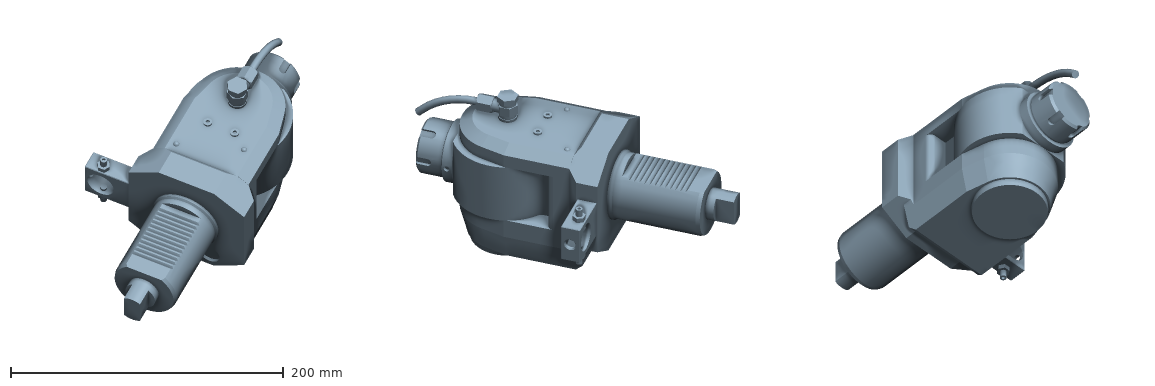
import cadquery as cq
import math


OVERALL_LENGTH = 249.7

FLANGE_HALF_WIDTH = 47.0
FLANGE_TOP = 43.7
FLANGE_BOTTOM = -44.5
FLANGE_SIDE_HALF_HEIGHT = 29.5
FLANGE_FLAT_HALF_WIDTH = 22.5
FLANGE_BACK = 24.7
PLUG_X = 18.5
PLUG_Z = -32.0
PLUG_RADIUS = 8.5
PLUG_DEPTH = 2.5

BODY_HALF_WIDTH = 38.7
BODY_TOP = 40.0
BODY_BOTTOM = -59.5
TOP_BEVEL_DROP = 5.5
TOP_BEVEL_INSET = 9.2
TAPER_TOP = -39.2
TAPER_INSET = 5.2
HEAD_Y = 86.1
NOSE_RADIUS = 35.2
NOSE_SIDE_ANGLE = math.radians(13.5)
SKIRT_FRONT = 15.7
SKIRT_BEVEL = 5.7

DRUM_RADIUS = 41.0
DRUM_HALF_HEIGHT = 24.0
POCKET_BACK = 42.2
POCKET_FLOOR_X = 23.2
POCKET_FILLET_RADIUS = 3.7
POCKET_EDGE_RADIUS = 5.0

COVER_RADIUS = 28.2
COVER_BOTTOM = -65.2
COVER_CHAMFER_HEIGHT = 2.5
COVER_CHAMFER_DEPTH = 0.5

NOSE_FACE = HEAD_Y + NOSE_RADIUS
COLLAR_RADIUS = 23.7
COLLAR_END = 129.0
COLLAR_HOLE_Y = 125.3
COLLAR_HOLE_RADIUS = 2.2
COLLAR_HOLE_DEPTH = 2.5
NUT_RADIUS = 21.0
NUT_END = 150.8
NUT_CHAMFER = 1.7
NUT_GROOVE_WIDTH = 1.5
NUT_GROOVE_DEPTH = 0.7
NUT_SLOT_COUNT = 6
NUT_SLOT_WIDTH = 6.0
NUT_SLOT_LENGTH = 12.5
NUT_SLOT_DEPTH = 2.7

SHANK_RADIUS = 25.0
SHANK_END = -71.5
SHANK_CHAMFER_LENGTH = 3.0
SHANK_CHAMFER_DEPTH = 1.0
RING_RADIUS = 26.2
RING_LENGTH = 2.0
RING_TAPER_END = 3.5
FLAT_Z = 19.5
FLAT_START = -8.2
GROOVE_COUNT = 12
GROOVE_PITCH = 4.0
FIRST_GROOVE_Y = -13.7
GROOVE_WIDTH = 2.7
GROOVE_DEPTH = 1.37
TANG_RADIUS = 12.0
TANG_SHOULDER = -78.0
TANG_END = -92.0
TANG_HALF_WIDTH = 6.5

BRACKET_END = -83.1
BRACKET_HALF_HEIGHT = 14.7
BRACKET_FRONT = 0.7
BRACKET_BACK = 15.7
BRACKET_CHAMFER = 0.5
RING_HOLE_X = -70.2
RING_HOLE_RADIUS = 10.7
STUD_Y = 6.0
STUD_RADIUS = 2.5
STUD_SOCKET_RADIUS = 1.2
STUD_SOCKET_DEPTH = 2.0
STUD_INNER_Z = 8.7
STUD_OUTER_Z = 24.5
STUD_NUT_CORNERS = 9.7
STUD_NUT_HEIGHT = 3.7
SIDE_HOLE_Y = 8.5
SIDE_HOLE_RADIUS = 4.0
SIDE_HOLE_END = -50.0
SIDE_HOLE_CHAMFER = 0.7

FITTING_TOP = 59.7
CAP_CORNERS = 16.0
CAP_HEIGHT = 4.7
STEM_RADIUS = 6.5
STEM_BASE_RADIUS = 7.0
STEM_BASE_HEIGHT = 2.2
STEM_HEX_CORNERS = 15.7
STEM_HEX_BOTTOM = 45.0
STEM_HEX_TOP = 52.7
TUBE_Z = 48.7
ELBOW_RADIUS = 5.0
TUBE_NUT_START = 96.9
TUBE_NUT_END = 109.0
TUBE_NUT_CORNERS = 14.0
TUBE_NUT_CHAMFER = 1.0
TUBE_RADIUS = 3.0
TUBE_BEND_START = 110.9
TUBE_BEND_RADIUS = 58.7
TUBE_BEND_ANGLE = math.radians(45)
TUBE_END_Y = TANG_END + OVERALL_LENGTH

SCREW_X = 11.0
SCREW_Y = 59.0
SCREW_RADIUS = 3.2
SCREW_HEIGHT = 1.5
SOCKET_RADIUS = 1.5
PIN_POINTS = [(23.5, 48.5), (-23.5, 31.7)]
PIN_RADIUS = 2.5
PIN_SINK = 1.0


def box(x_range, y_range, z_range):
    """Box between pairs of limits along X, Y and Z."""
    size = [high - low for low, high in (x_range, y_range, z_range)]
    corner = (x_range[0], y_range[0], z_range[0])
    return cq.Workplane("XY").box(*size, centered=False).translate(corner)


def along_y(start, x=0.0, z=0.0):
    """Workplane at Y = start whose extrusions run towards +Y; its local x is -X."""
    return cq.Workplane(cq.Plane((x, start, z), xDir=(-1, 0, 0), normal=(0, 1, 0)))


def turned(profile):
    """Solid turned about the Y axis from (radius, y) points."""
    return cq.Workplane("XY").polyline(profile).close().revolve(360, (0, 0, 0), (0, 1, 0))


def make_flange():
    octagon = [
        (FLANGE_FLAT_HALF_WIDTH, FLANGE_TOP),
        (FLANGE_HALF_WIDTH, FLANGE_SIDE_HALF_HEIGHT),
        (FLANGE_HALF_WIDTH, -FLANGE_SIDE_HALF_HEIGHT),
        (FLANGE_FLAT_HALF_WIDTH, FLANGE_BOTTOM),
    ]
    octagon += [(-x, z) for x, z in reversed(octagon)]
    plate = along_y(0).polyline(octagon).close().extrude(FLANGE_BACK)

    flank_slope = TAPER_INSET / (TAPER_TOP - BODY_BOTTOM)
    skirt_bottom_x = BODY_HALF_WIDTH - TAPER_INSET
    skirt_top_x = skirt_bottom_x + flank_slope * (-FLANGE_SIDE_HALF_HEIGHT - BODY_BOTTOM)
    skirt = (
        along_y(SKIRT_FRONT)
        .polyline([
            (skirt_top_x, -FLANGE_SIDE_HALF_HEIGHT),
            (skirt_bottom_x, BODY_BOTTOM),
            (-skirt_bottom_x, BODY_BOTTOM),
            (-skirt_top_x, -FLANGE_SIDE_HALF_HEIGHT),
        ])
        .close()
        .extrude(FLANGE_BACK - SKIRT_FRONT)
        .faces("<Y").edges("<Z").chamfer(SKIRT_BEVEL)
    )

    side_bevel = FLANGE_HALF_WIDTH - BODY_HALF_WIDTH
    plan = [
        (FLANGE_HALF_WIDTH, 0),
        (FLANGE_HALF_WIDTH, FLANGE_BACK - side_bevel),
        (BODY_HALF_WIDTH, FLANGE_BACK),
    ]
    plan += [(-x, y) for x, y in reversed(plan)]
    height = FLANGE_TOP - BODY_BOTTOM
    plan_limit = cq.Workplane("XY", origin=(0, 0, BODY_BOTTOM)).polyline(plan).close().extrude(height)
    top_bevel = FLANGE_TOP - BODY_TOP
    top_cut = (
        cq.Workplane("YZ")
        .polyline([
            (FLANGE_BACK - top_bevel, FLANGE_TOP),
            (FLANGE_BACK, FLANGE_TOP),
            (FLANGE_BACK, BODY_TOP),
        ])
        .close()
        .extrude(FLANGE_HALF_WIDTH, both=True)
    )
    plug_recess = along_y(0, PLUG_X, PLUG_Z).circle(PLUG_RADIUS).extrude(PLUG_DEPTH)
    return plate.union(skirt).intersect(plan_limit).cut(top_cut).cut(plug_recess)


def body_outline(work, inset):
    """Plan of the body: straight sides, converging sides and a round nose, all moved in by inset."""
    half_width = BODY_HALF_WIDTH - inset
    radius = NOSE_RADIUS - inset
    tangent_x = radius * math.cos(NOSE_SIDE_ANGLE)
    tangent_y = HEAD_Y + radius * math.sin(NOSE_SIDE_ANGLE)
    corner_y = tangent_y - (half_width - tangent_x) / math.tan(NOSE_SIDE_ANGLE)
    return (
        work.moveTo(-half_width, FLANGE_BACK)
        .lineTo(half_width, FLANGE_BACK)
        .lineTo(half_width, corner_y)
        .lineTo(tangent_x, tangent_y)
        .threePointArc((0, HEAD_Y + radius), (-tangent_x, tangent_y))
        .lineTo(-half_width, corner_y)
        .close()
    )


def body_layer(bottom, top, bottom_inset, top_inset):
    lower = body_outline(cq.Workplane("XY", origin=(0, 0, bottom)), bottom_inset)
    return body_outline(lower.workplane(offset=top - bottom), top_inset).loft(ruled=True)


def make_body():
    bevel_bottom = BODY_TOP - TOP_BEVEL_DROP
    body = body_layer(TAPER_TOP, bevel_bottom, 0, 0)
    body = body.union(body_layer(bevel_bottom, BODY_TOP, 0, TOP_BEVEL_INSET))
    return body.union(body_layer(BODY_BOTTOM, TAPER_TOP, TAPER_INSET, 0))


def make_pocket():
    """Pocket on the +X side behind the drum.

    A fillet joins its floor to the drum, and its rear wall rounds out into the body side.
    """
    fillet_x = POCKET_FLOOR_X + POCKET_FILLET_RADIUS
    fillet_distance = DRUM_RADIUS + POCKET_FILLET_RADIUS
    fillet_y = HEAD_Y - math.sqrt(fillet_distance**2 - fillet_x**2)
    touch_ratio = DRUM_RADIUS / fillet_distance
    touch_x = fillet_x * touch_ratio
    touch_y = HEAD_Y + (fillet_y - HEAD_Y) * touch_ratio
    touch_angle = math.atan2(touch_y - fillet_y, touch_x - fillet_x)
    middle_angle = (touch_angle + math.pi) / 2

    edge_y = POCKET_BACK - POCKET_EDGE_RADIUS
    edge_x = BODY_HALF_WIDTH - POCKET_EDGE_RADIUS
    edge_middle = POCKET_EDGE_RADIUS * math.sqrt(0.5)
    outside = BODY_HALF_WIDTH + POCKET_EDGE_RADIUS
    return (
        cq.Workplane("XY", origin=(0, 0, -DRUM_HALF_HEIGHT))
        .moveTo(touch_x, touch_y)
        .threePointArc(
            (
                fillet_x + POCKET_FILLET_RADIUS * math.cos(middle_angle),
                fillet_y + POCKET_FILLET_RADIUS * math.sin(middle_angle),
            ),
            (POCKET_FLOOR_X, fillet_y),
        )
        .lineTo(POCKET_FLOOR_X, POCKET_BACK)
        .lineTo(edge_x, POCKET_BACK)
        .threePointArc((edge_x + edge_middle, edge_y + edge_middle), (BODY_HALF_WIDTH, edge_y))
        .lineTo(outside, edge_y)
        .lineTo(outside, HEAD_Y)
        .close()
        .extrude(2 * DRUM_HALF_HEIGHT)
    )


def make_drum():
    drum = (
        cq.Workplane("XY", origin=(0, HEAD_Y, -DRUM_HALF_HEIGHT))
        .circle(DRUM_RADIUS)
        .extrude(2 * DRUM_HALF_HEIGHT)
    )
    limits = (-DRUM_RADIUS, DRUM_RADIUS)
    front_cut = box(limits, (NOSE_FACE, NOSE_FACE + DRUM_RADIUS), limits)
    return drum.cut(front_cut)


def make_cover():
    return (
        cq.Workplane("XY", origin=(0, HEAD_Y, COVER_BOTTOM))
        .circle(COVER_RADIUS)
        .extrude(BODY_BOTTOM - COVER_BOTTOM)
        .faces("<Z").chamfer(COVER_CHAMFER_HEIGHT, COVER_CHAMFER_DEPTH)
    )


def make_spindle_nose():
    groove_end = COLLAR_END + NUT_GROOVE_WIDTH
    nose = turned([
        (0, NOSE_FACE),
        (COLLAR_RADIUS, NOSE_FACE),
        (COLLAR_RADIUS, COLLAR_END),
        (NUT_RADIUS - NUT_GROOVE_DEPTH, COLLAR_END),
        (NUT_RADIUS - NUT_GROOVE_DEPTH, groove_end),
        (NUT_RADIUS, groove_end),
        (NUT_RADIUS, NUT_END - NUT_CHAMFER),
        (NUT_RADIUS - NUT_CHAMFER, NUT_END),
        (0, NUT_END),
    ])
    slot_center_y = NUT_END - NUT_SLOT_LENGTH + NUT_SLOT_WIDTH / 2
    slot = (
        cq.Workplane("YZ", origin=(NUT_RADIUS - NUT_SLOT_DEPTH, 0, 0))
        .moveTo(NUT_END, -NUT_SLOT_WIDTH / 2)
        .lineTo(NUT_END, NUT_SLOT_WIDTH / 2)
        .lineTo(slot_center_y, NUT_SLOT_WIDTH / 2)
        .threePointArc((NUT_END - NUT_SLOT_LENGTH, 0), (slot_center_y, -NUT_SLOT_WIDTH / 2))
        .close()
        .extrude(2 * NUT_SLOT_DEPTH)
    )
    for index in range(NUT_SLOT_COUNT):
        nose = nose.cut(slot.rotate((0, 0, 0), (0, 1, 0), index * 360 / NUT_SLOT_COUNT))
    collar_hole = (
        cq.Workplane("YZ", origin=(-COLLAR_RADIUS, COLLAR_HOLE_Y, 0))
        .circle(COLLAR_HOLE_RADIUS)
        .extrude(COLLAR_HOLE_DEPTH)
    )
    return nose.cut(collar_hole)


def make_shank():
    shank = turned([
        (0, FLANGE_BACK),
        (SHANK_RADIUS, FLANGE_BACK),
        (SHANK_RADIUS, 0),
        (RING_RADIUS, 0),
        (RING_RADIUS, -RING_LENGTH),
        (SHANK_RADIUS, -RING_TAPER_END),
        (SHANK_RADIUS, SHANK_END + SHANK_CHAMFER_LENGTH),
        (SHANK_RADIUS - SHANK_CHAMFER_DEPTH, SHANK_END),
        (0, SHANK_END),
    ])
    across = (-SHANK_RADIUS, SHANK_RADIUS)
    shank = shank.cut(box(across, (SHANK_END, FLAT_START), (FLAT_Z, SHANK_RADIUS)))
    for index in range(GROOVE_COUNT):
        y = FIRST_GROOVE_Y - index * GROOVE_PITCH
        groove = (
            cq.Workplane("YZ")
            .polyline([
                (y - GROOVE_WIDTH / 2, FLAT_Z),
                (y, FLAT_Z - GROOVE_DEPTH),
                (y + GROOVE_WIDTH / 2, FLAT_Z),
            ])
            .close()
            .extrude(SHANK_RADIUS, both=True)
        )
        shank = shank.cut(groove)

    tang = along_y(TANG_END).circle(TANG_RADIUS).extrude(SHANK_END - TANG_END)
    for side_range in ((-TANG_RADIUS, -TANG_HALF_WIDTH), (TANG_HALF_WIDTH, TANG_RADIUS)):
        tang = tang.cut(box(side_range, (TANG_END, TANG_SHOULDER), (-TANG_RADIUS, TANG_RADIUS)))
    return shank.union(tang)


def make_bracket():
    thickness = BRACKET_BACK - BRACKET_FRONT
    bracket = box(
        (BRACKET_END, -BODY_HALF_WIDTH),
        (BRACKET_FRONT, BRACKET_BACK),
        (-BRACKET_HALF_HEIGHT, BRACKET_HALF_HEIGHT),
    )
    ring_hole = along_y(BRACKET_FRONT, RING_HOLE_X).circle(RING_HOLE_RADIUS).extrude(thickness)
    side_hole = (
        cq.Workplane("YZ", origin=(BRACKET_END, SIDE_HOLE_Y, 0))
        .circle(SIDE_HOLE_RADIUS)
        .extrude(SIDE_HOLE_END - BRACKET_END)
    )
    countersink = (
        cq.Workplane("YZ", origin=(BRACKET_END, SIDE_HOLE_Y, 0))
        .circle(SIDE_HOLE_RADIUS + SIDE_HOLE_CHAMFER)
        .extrude(SIDE_HOLE_CHAMFER, taper=45)
    )
    bracket = bracket.faces("not >X").edges("not >X").chamfer(BRACKET_CHAMFER)
    bracket = bracket.cut(ring_hole).cut(side_hole).cut(countersink)

    stud = (
        cq.Workplane("XY", origin=(RING_HOLE_X, STUD_Y, STUD_INNER_Z))
        .circle(STUD_RADIUS)
        .extrude(STUD_OUTER_Z - STUD_INNER_Z)
    )
    stud_socket = (
        cq.Workplane("XY", origin=(RING_HOLE_X, STUD_Y, STUD_OUTER_Z - STUD_SOCKET_DEPTH))
        .circle(STUD_SOCKET_RADIUS)
        .extrude(STUD_SOCKET_DEPTH)
    )
    stud_nut = (
        cq.Workplane("XY", origin=(RING_HOLE_X, STUD_Y, BRACKET_HALF_HEIGHT))
        .polygon(6, STUD_NUT_CORNERS)
        .extrude(STUD_NUT_HEIGHT)
    )
    upper_stud = stud.union(stud_nut).cut(stud_socket)
    return bracket.union(upper_stud).union(upper_stud.mirror("XY"))


def make_coolant_fitting():
    base = cq.Workplane("XY", origin=(0, HEAD_Y, 0))
    stem = base.workplane(offset=BODY_TOP).circle(STEM_RADIUS).extrude(FITTING_TOP - BODY_TOP)
    stem_base = base.workplane(offset=BODY_TOP).circle(STEM_BASE_RADIUS).extrude(STEM_BASE_HEIGHT)
    cap = base.workplane(offset=FITTING_TOP - CAP_HEIGHT).polygon(6, CAP_CORNERS).extrude(CAP_HEIGHT)
    stem_hex = (
        base.workplane(offset=STEM_HEX_BOTTOM)
        .polygon(6, STEM_HEX_CORNERS)
        .extrude(STEM_HEX_TOP - STEM_HEX_BOTTOM)
        .rotate((0, HEAD_Y, 0), (0, HEAD_Y, 1), 90)
    )
    elbow = along_y(HEAD_Y, z=TUBE_Z).circle(ELBOW_RADIUS).extrude(TUBE_NUT_START - HEAD_Y)
    tube_nut = (
        along_y(TUBE_NUT_START, z=TUBE_Z)
        .polygon(6, TUBE_NUT_CORNERS)
        .extrude(TUBE_NUT_END - TUBE_NUT_START)
        .rotate((0, 0, TUBE_Z), (0, 1, TUBE_Z), 90)
    )

    nut_limit = (
        along_y(TUBE_NUT_START, z=TUBE_Z)
        .circle(TUBE_NUT_CORNERS / 2)
        .extrude(TUBE_NUT_END - TUBE_NUT_START)
        .faces("<Y or >Y").chamfer(TUBE_NUT_CHAMFER)
    )
    tube_nut = tube_nut.intersect(nut_limit)

    def bend_point(angle):
        return (
            TUBE_BEND_START + TUBE_BEND_RADIUS * math.sin(angle),
            TUBE_Z - TUBE_BEND_RADIUS * (1 - math.cos(angle)),
        )

    bend_end = bend_point(TUBE_BEND_ANGLE)
    tip_y = TUBE_END_Y - TUBE_RADIUS * math.sin(TUBE_BEND_ANGLE)
    tip_z = bend_end[1] - (tip_y - bend_end[0]) * math.tan(TUBE_BEND_ANGLE)
    tube_path = (
        cq.Workplane("YZ")
        .moveTo(TUBE_NUT_START, TUBE_Z)
        .lineTo(TUBE_BEND_START, TUBE_Z)
        .threePointArc(bend_point(TUBE_BEND_ANGLE / 2), bend_end)
        .lineTo(tip_y, tip_z)
    )
    tube = along_y(TUBE_NUT_START, z=TUBE_Z).circle(TUBE_RADIUS).sweep(tube_path)
    fitting = stem
    for piece in (stem_base, cap, stem_hex, elbow, tube_nut, tube):
        fitting = fitting.union(piece)
    return fitting


def make_top_screws():
    top = cq.Workplane("XY", origin=(0, 0, BODY_TOP))
    screws = (
        top.pushPoints([(-SCREW_X, SCREW_Y), (SCREW_X, SCREW_Y)])
        .circle(SCREW_RADIUS)
        .circle(SOCKET_RADIUS)
        .extrude(SCREW_HEIGHT)
    )
    pins = top.workplane(offset=-PIN_SINK).pushPoints(PIN_POINTS).sphere(PIN_RADIUS)
    return screws.union(pins)


pocket = make_pocket()
result = make_body().cut(pocket).cut(pocket.mirror("YZ"))
for component in (
    make_drum(),
    make_flange(),
    make_cover(),
    make_spindle_nose(),
    make_shank(),
    make_bracket(),
    make_coolant_fitting(),
    make_top_screws(),
):
    result = result.union(component)